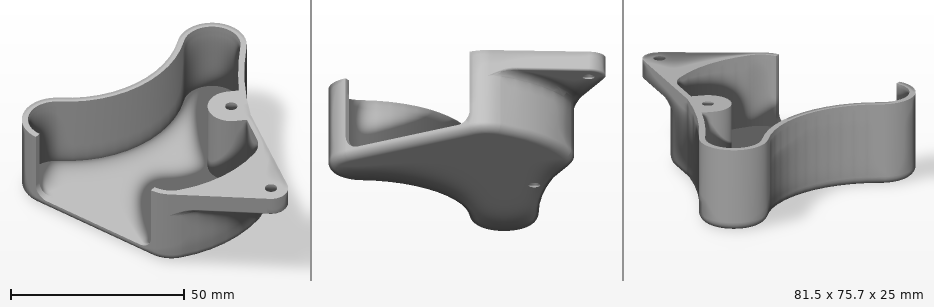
import cadquery as cq
import math

HEIGHT = 25.0
FLOOR = 3.0
TAB_THICKNESS = 5.9

WALL = 1.8
FRONT_WALL = 3.0
BASE_FILLET = 2.5
TAB_BLEND = 2.0
TAB_EDGE_FILLET = 0.65
OPENING_FILLET = 4.0

LOBE_RADIUS = 10.0
TIP_RADIUS = 5.0
BACK_LOBE = cq.Vector(10.0, 65.65)
FRONT_LOBE = cq.Vector(20.2, 10.0)
FRONT_CORNER = cq.Vector(57.1, 28.4)
BACK_CORNER = cq.Vector(53.2, 49.3)
TIP = cq.Vector(76.5, 50.75)

LEFT_ARC_RADIUS = 32.6
BACK_ARC_RADIUS = 104.25
BACK_LINE_EXTENSION = 11.0
RIGHT_ARC_RADIUS = 39.1

BOSS = cq.Vector(37.8, 57.7)
BOSS_RADIUS = 6.85
BOSS_ANGLE = 72.0
HOLE_DIAMETER = 3.5

OVERSIZE = 244.35
MARGIN = 8.15
SEAM_TOLERANCE = 0.8


def polar(angle):
    return cq.Vector(math.cos(angle), math.sin(angle))


def left_normal(direction):
    return cq.Vector(-direction.y, direction.x)


def tangent_normal(a, radius_a, b, radius_b):
    """Unit normal of the line touching both circles on the left of a -> b."""
    step = b - a
    return polar(math.atan2(step.y, step.x) + math.acos((radius_a - radius_b) / step.Length))


def arc_center(a, b, distance_a, distance_b):
    """Point at the given distances from a and b, on the left of a -> b."""
    step = b - a
    along = (distance_a**2 - distance_b**2 + step.Length**2) / (2 * step.Length)
    across = math.sqrt(distance_a**2 - along**2)
    direction = step.normalized()
    return a + direction * along + left_normal(direction) * across


def toward(start, end, distance):
    return start + (end - start).normalized() * distance


def arc_middle(center, start, end):
    """Middle of the shorter arc from start to end around center."""
    return toward(center, (start + end) * 0.5, (start - center).Length)


def arc_to(sketch, center, start, end):
    return sketch.threePointArc(arc_middle(center, start, end).toTuple()[:2], end.toTuple()[:2])


def line_to(sketch, end):
    return sketch.lineTo(end.x, end.y)


back_normal = tangent_normal(BACK_CORNER, LOBE_RADIUS, TIP, TIP_RADIUS)
back_line_start = BACK_CORNER + back_normal * LOBE_RADIUS
back_line_end = TIP + back_normal * TIP_RADIUS

back_direction = (back_line_end - back_line_start).normalized()
back_arc_end = back_line_start - back_direction * BACK_LINE_EXTENSION
back_arc_center = arc_center(BACK_LOBE, back_arc_end, BACK_ARC_RADIUS + LOBE_RADIUS, BACK_ARC_RADIUS)
back_arc_start = toward(BACK_LOBE, back_arc_center, LOBE_RADIUS)

left_arc_distance = LEFT_ARC_RADIUS + LOBE_RADIUS
left_arc_center = arc_center(FRONT_LOBE, BACK_LOBE, left_arc_distance, left_arc_distance)
left_arc_start = toward(FRONT_LOBE, left_arc_center, LOBE_RADIUS)
left_arc_end = toward(BACK_LOBE, left_arc_center, LOBE_RADIUS)

front_direction = (FRONT_CORNER - FRONT_LOBE).normalized()
front_normal = left_normal(front_direction)
front_line_start = FRONT_LOBE - front_normal * LOBE_RADIUS
front_line_end = FRONT_CORNER - front_normal * LOBE_RADIUS
front_length = (front_line_end - front_line_start).Length
front_plane = cq.Plane(front_line_start, front_direction, front_normal * -1)

right_arc_distance = RIGHT_ARC_RADIUS - LOBE_RADIUS
right_arc_center = arc_center(FRONT_CORNER, BACK_CORNER, right_arc_distance, right_arc_distance)
right_arc_start = toward(right_arc_center, FRONT_CORNER, RIGHT_ARC_RADIUS)
right_arc_end = toward(right_arc_center, BACK_CORNER, RIGHT_ARC_RADIUS)

tab_normal = tangent_normal(TIP, TIP_RADIUS, FRONT_CORNER, LOBE_RADIUS)
tab_line_start = FRONT_CORNER + tab_normal * LOBE_RADIUS
tab_line_end = TIP + tab_normal * TIP_RADIUS


def left_side():
    """Outline from the end of the back arc round the lobes to the front edge."""
    sketch = cq.Workplane("XY").moveTo(back_arc_end.x, back_arc_end.y)
    sketch = arc_to(sketch, back_arc_center, back_arc_end, back_arc_start)
    lobe_side = (BACK_LOBE.x - LOBE_RADIUS, BACK_LOBE.y)
    sketch = sketch.threePointArc(lobe_side, (left_arc_end.x, left_arc_end.y))
    sketch = arc_to(sketch, left_arc_center, left_arc_end, left_arc_start)
    sketch = arc_to(sketch, FRONT_LOBE, left_arc_start, front_line_start)
    return line_to(sketch, front_line_end)


def box_outline():
    sketch = arc_to(left_side(), FRONT_CORNER, front_line_end, right_arc_start)
    sketch = arc_to(sketch, right_arc_center, right_arc_start, right_arc_end)
    sketch = arc_to(sketch, BACK_CORNER, right_arc_end, back_line_start)
    return line_to(sketch, back_arc_end).close()


def full_outline():
    sketch = arc_to(left_side(), FRONT_CORNER, front_line_end, tab_line_start)
    sketch = line_to(sketch, tab_line_end)
    sketch = arc_to(sketch, TIP, tab_line_end, back_line_end)
    return line_to(sketch, back_arc_end).close()


def outer_block():
    """Solid box with its rounded base and the tab blended into its side."""
    box = box_outline().extrude(HEIGHT)
    underside = HEIGHT - TAB_THICKNESS
    plate = cq.Workplane("XY", origin=(0, 0, underside)).rect(OVERSIZE, OVERSIZE).extrude(TAB_THICKNESS)
    seam = cq.selectors.BoxSelector(
        (-MARGIN, -MARGIN, underside - SEAM_TOLERANCE),
        (TIP.x + MARGIN, BACK_LOBE.y + LOBE_RADIUS + MARGIN, underside + SEAM_TOLERANCE),
        boundingbox=True,
    )
    block = box.union(plate).edges(seam).fillet(TAB_BLEND)
    block = block.faces("<Z").edges().fillet(BASE_FILLET)
    block = block.intersect(full_outline().extrude(HEIGHT))
    return block.edges(tab_edges()).fillet(TAB_EDGE_FILLET)


def tab_edges():
    """Lower rim of the tab: its two straight edges and the round tip."""
    tab_underside = HEIGHT - TAB_THICKNESS
    rim_points = [
        (tab_line_start + tab_line_end * 3) * 0.25,
        arc_middle(TIP, tab_line_end, back_line_end),
        (back_line_start + back_line_end * 3) * 0.25,
    ]
    selectors = [
        cq.selectors.NearestToPointSelector((point.x, point.y, tab_underside))
        for point in rim_points
    ]
    return selectors[0] + selectors[1] + selectors[2]


def cavity():
    hollow = box_outline().offset2D(-WALL).extrude(HEIGHT).translate((0, 0, FLOOR))
    front_wall = (
        cq.Workplane(front_plane)
        .center(front_length / 2, HEIGHT / 2)
        .rect(front_length, HEIGHT)
        .extrude(-FRONT_WALL)
    )
    corner_rounds = (
        cq.Workplane("XY")
        .pushPoints([FRONT_LOBE.toTuple()[:2], FRONT_CORNER.toTuple()[:2]])
        .circle(LOBE_RADIUS - WALL)
        .extrude(HEIGHT)
    )
    return hollow.cut(front_wall.cut(corner_rounds))


def boss():
    stem = cq.Workplane("XY").circle(BOSS_RADIUS).extrude(HEIGHT)
    arm = cq.Workplane("XY").rect(2 * MARGIN, 2 * BOSS_RADIUS).extrude(HEIGHT).translate((MARGIN, 0, 0))
    return stem.union(arm).rotate((0, 0, 0), (0, 0, 1), BOSS_ANGLE).translate(BOSS)


def opening():
    """Gap in the front wall down to the floor, with rounded lower corners."""
    return (
        cq.Workplane(front_plane)
        .center(front_length / 2, FLOOR + HEIGHT / 2)
        .rect(front_length, HEIGHT)
        .extrude(MARGIN / 2, both=True)
        .edges("<Z").edges(cq.selectors.ParallelDirSelector(front_normal))
        .fillet(OPENING_FILLET)
    )


hole_points = [(p.x, p.y) for p in (BOSS, TIP)]
holes = cq.Workplane("XY").pushPoints(hole_points).circle(HOLE_DIAMETER / 2).extrude(HEIGHT)

result = outer_block().cut(cavity().cut(boss())).cut(opening()).cut(holes)